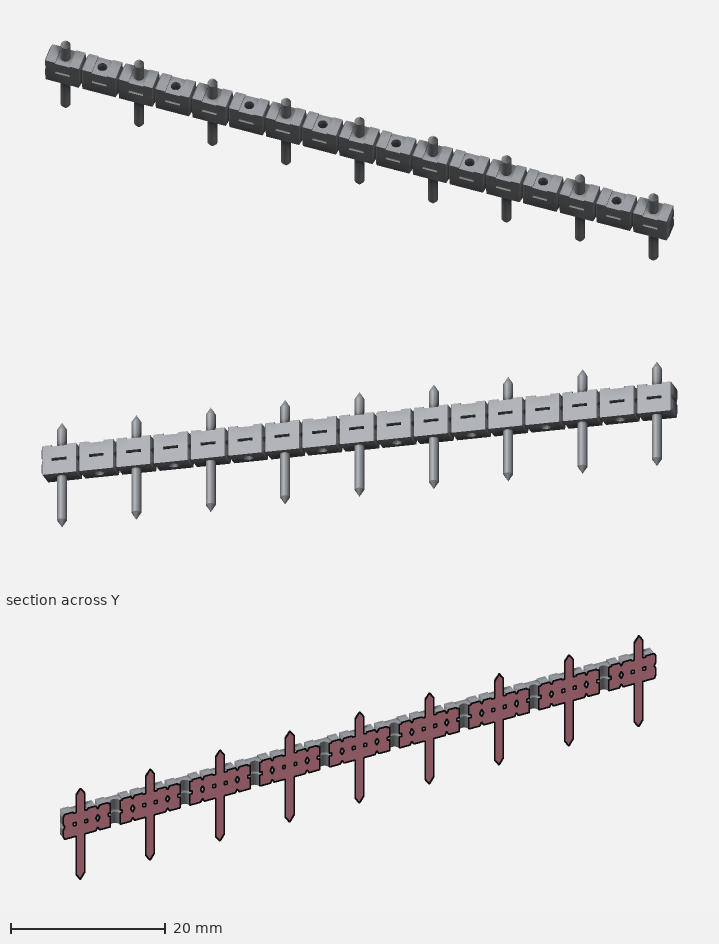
import cadquery as cq

module_count = 17
module_pitch = 5.0
pin_every = 2

block_width = 2.8
block_height = 4.0
notch_depth = 0.25
block_length = module_pitch - 2 * notch_depth

bridge_count = 2
bridge_inset = 0.5
bridge_base_height = block_height / bridge_count
bridge_tip_width = block_width - 2 * bridge_inset
bridge_tip_height = bridge_base_height - 2 * bridge_inset

channel_width = 2.0
channel_depth = 0.2
slot_length = 2.0
slot_height = 0.4

pin_diameter = 1.3
pin_length = 14.5
pin_above = 3.5
pin_below = pin_length - block_height - pin_above
point_length = 1.0

strip_length = module_count * module_pitch
pin_radius = pin_diameter / 2


def module_center(index):
    """X of the middle of a module; the strip is centred on the origin."""
    return (index + 0.5) * module_pitch - strip_length / 2


def make_bridge(side):
    """Tapered bridge at height zero on one end of a module; side is -1 or +1 along X."""
    end_plane = cq.Plane(
        origin=(side * block_length / 2, 0, 0),
        xDir=(0, 1, 0),
        normal=(side, 0, 0),
    )
    return (
        cq.Workplane(end_plane)
        .rect(block_width, bridge_base_height)
        .workplane(offset=notch_depth)
        .rect(bridge_tip_width, bridge_tip_height)
        .loft(combine=True)
    )


def make_module():
    """One block with its bridges, top channel, cross slot and vertical pin hole."""
    module = cq.Workplane("XY").box(block_length, block_width, block_height)
    for side in (-1, 1):
        for level in range(bridge_count):
            height = (level + 0.5) * bridge_base_height - block_height / 2
            module = module.union(make_bridge(side).translate((0, 0, height)))

    channel = (
        cq.Workplane("XY")
        .box(channel_width, block_width, channel_depth)
        .translate((0, 0, (block_height - channel_depth) / 2))
    )
    slot = cq.Workplane("XY").box(slot_length, block_width, slot_height)
    hole = cq.Workplane("XY").circle(pin_radius).extrude(block_height, both=True)
    return module.cut(channel).cut(slot).cut(hole)


def make_pin():
    """Round pin through a module, with a cone at both ends."""
    top = block_height / 2 + pin_above
    bottom = -block_height / 2 - pin_below
    return (
        cq.Workplane("XZ")
        .moveTo(0, bottom)
        .lineTo(pin_radius, bottom + point_length)
        .lineTo(pin_radius, top - point_length)
        .lineTo(0, top)
        .close()
        .revolve(360, (0, 0, 0), (0, 1, 0))
    )


def make_strip():
    """All modules in a row, with their pins, joined into one solid."""
    plain_module = make_module()
    pinned_module = plain_module.union(make_pin())
    modules = []
    for index in range(module_count):
        module = pinned_module if index % pin_every == 0 else plain_module
        modules.append(module.val().translate(cq.Vector(module_center(index), 0, 0)))
    strip = modules[0].fuse(*modules[1:]).clean()
    return cq.Workplane("XY").newObject(strip.Solids())


result = make_strip()